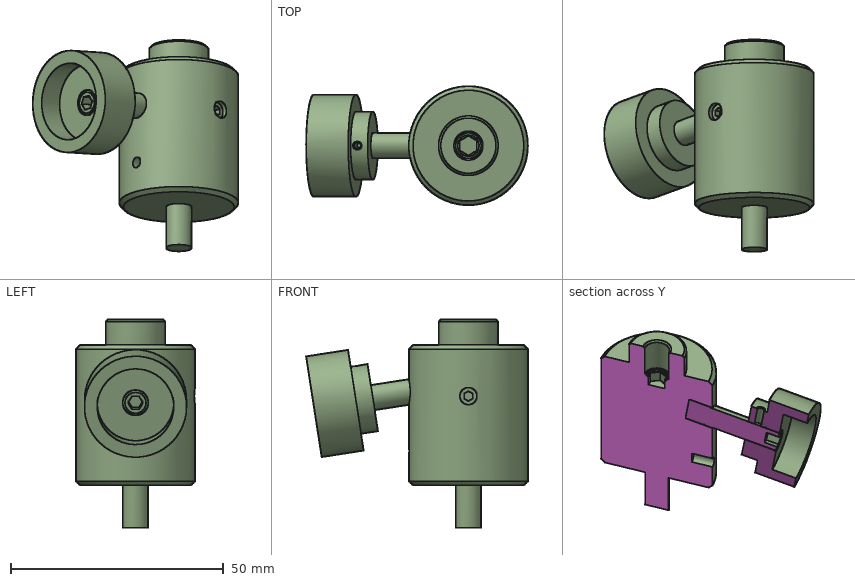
import cadquery as cq
import math

housing_diameter = 28.0
housing_height = 33.0
housing_chamfer = 1.0
boss_diameter = housing_diameter / 2
boss_height = 6.0
boss_chamfer = 0.5
spigot_diameter = 6.0
spigot_length = 10.0

bore_diameter = 6.0
bore_depth = 8.35
bore_chamfer = 0.4
bore_step_diameter = 5.0
bore_step_depth = 0.5
bore_hex_flats = 4.0
bore_hex_depth = 2.6

side_socket_height = 20.95
side_socket_diameter = 4.0
side_socket_depth = 1.3
side_hex_flats = 2.05
side_hex_depth = 1.55
side_hole_height = 8.1
side_hole_diameter = 2.5
side_hole_depth = 5.2

tilt = 8.8
pivot_height = 24.1
arm_diameter = 6.0
arm_chamfer = 0.5
arm_inner_distance = 7.8
arm_hex_flats = 3.0
arm_hex_depth = 3.15

rim_diameter = 24.0
rim_length = 10.0
recess_diameter = 18.0
recess_depth = 6.0
hub_diameter = 16.0
hub_length = 4.0
hub_hole_diameter = 1.55
hub_hole_chamfer = 0.25
hub_hole_offset = 1.55

overall_length = 52.15
tilt_radians = math.radians(tilt)
corner_reach = overall_length - housing_diameter / 2
rim_face_distance = (corner_reach - rim_diameter / 2 * math.sin(tilt_radians)) / math.cos(tilt_radians)
rim_back_distance = rim_face_distance - rim_length
hub_end_distance = rim_back_distance - hub_length
recess_floor_distance = rim_face_distance - recess_depth
arm_outer_distance = recess_floor_distance


def axis_plane(distance):
    """Plane across the tilted axis: normal points outward, local Y points upward."""
    outward = cq.Vector(-math.cos(tilt_radians), 0, -math.sin(tilt_radians))
    origin = cq.Vector(0, 0, pivot_height) + outward * distance
    return cq.Plane(origin=origin.toTuple(), xDir=(0, -1, 0), normal=outward.toTuple())


def disc(plane, diameter, length):
    return cq.Workplane(plane).circle(diameter / 2).extrude(length)


def hex_prism(plane, flats, length, turn=0):
    """Hexagonal prism; at zero turn two corners lie along the plane's local X."""
    corner_diameter = flats / math.cos(math.pi / 6)
    rotated = plane.rotated((0, 0, turn))
    return cq.Workplane(rotated).polygon(6, corner_diameter).extrude(length)


def cone(plane, diameter, chamfer):
    """Countersink cutter narrowing to the hole diameter along the plane normal."""
    return (
        cq.Workplane(plane)
        .circle(diameter / 2 + chamfer)
        .workplane(offset=chamfer)
        .circle(diameter / 2)
        .loft(ruled=True)
    )


def level_plane(height):
    return cq.Plane(origin=(0, 0, height), xDir=(1, 0, 0), normal=(0, 0, 1))


def downward_plane(height):
    return cq.Plane(origin=(0, 0, height), xDir=(1, 0, 0), normal=(0, 0, -1))


def make_arm_blank():
    return disc(axis_plane(arm_inner_distance), arm_diameter, arm_outer_distance - arm_inner_distance)


def cut_top_bore(body):
    top = housing_height + boss_height
    step = top - bore_depth
    socket_top = step - bore_step_depth
    body = body.cut(cone(downward_plane(top), bore_diameter, bore_chamfer))
    body = body.cut(disc(downward_plane(top), bore_diameter, bore_depth))
    body = body.cut(disc(downward_plane(step), bore_step_diameter, bore_step_depth))
    return body.cut(hex_prism(downward_plane(socket_top), bore_hex_flats, bore_hex_depth, turn=90))


def cut_side_holes(body):
    radius = housing_diameter / 2
    mouth = cq.Plane(origin=(0, -radius, side_socket_height), xDir=(1, 0, 0), normal=(0, 1, 0))
    floor = cq.Plane(
        origin=(0, side_socket_depth - radius, side_socket_height), xDir=(1, 0, 0), normal=(0, 1, 0)
    )
    side = cq.Plane(origin=(-radius, 0, side_hole_height), xDir=(0, 1, 0), normal=(1, 0, 0))
    body = body.cut(disc(mouth, side_socket_diameter, side_socket_depth))
    body = body.cut(hex_prism(floor, side_hex_flats, side_hex_depth, turn=90))
    return body.cut(disc(side, side_hole_diameter, side_hole_depth))


def make_housing():
    body = disc(level_plane(0), housing_diameter, housing_height).edges().chamfer(housing_chamfer)
    boss = disc(level_plane(housing_height), boss_diameter, boss_height)
    boss = boss.faces(">Z").edges().chamfer(boss_chamfer)
    spigot = disc(downward_plane(0), spigot_diameter, spigot_length)
    body = body.union(boss).union(spigot)
    body = cut_top_bore(body)
    body = cut_side_holes(body)
    return body.cut(make_arm_blank())


def make_arm():
    arm = make_arm_blank().faces("<X").edges().chamfer(arm_chamfer)
    socket_floor = axis_plane(arm_outer_distance - arm_hex_depth)
    return arm.cut(hex_prism(socket_floor, arm_hex_flats, arm_hex_depth))


def make_knob():
    rim = disc(axis_plane(rim_back_distance), rim_diameter, rim_length)
    hub = disc(axis_plane(hub_end_distance), hub_diameter, hub_length)
    recess = disc(axis_plane(recess_floor_distance), recess_diameter, recess_depth)
    knob = rim.union(hub).cut(recess)
    knob = knob.cut(disc(axis_plane(hub_end_distance), arm_diameter, rim_length + hub_length))

    across = axis_plane(rim_back_distance - hub_hole_offset)
    hole_mouth = cq.Plane(
        origin=across.toWorldCoords((0, hub_diameter / 2, 0)).toTuple(),
        xDir=(0, 1, 0),
        normal=(-across.yDir).toTuple(),
    )
    knob = knob.cut(disc(hole_mouth, hub_hole_diameter, hub_diameter / 2))
    return knob.cut(cone(hole_mouth, hub_hole_diameter, hub_hole_chamfer))


housing = make_housing()
arm = make_arm()
knob = make_knob()

result = cq.Compound.makeCompound([body.solids().val() for body in (housing, arm, knob)])